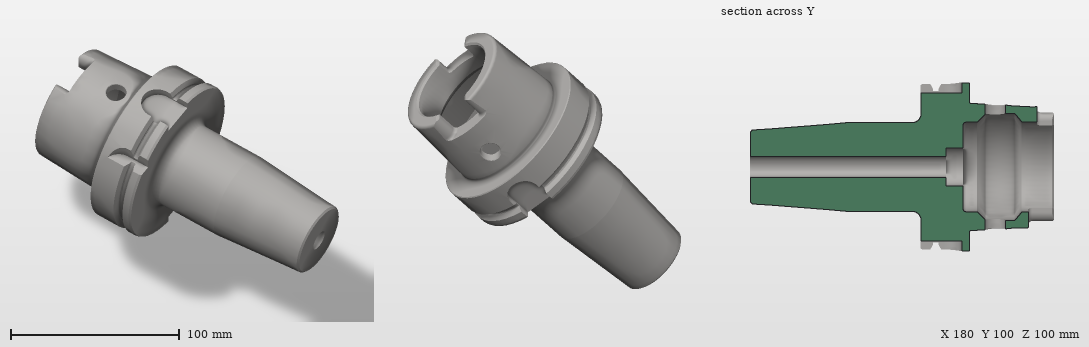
import cadquery as cq
import math

total_length = 180.0
taper_end = 47.9
flange_front = 50.0
flange_back = 79.0
nose_taper_start = 122.8

taper_mouth_dia = 70.7
taper_slope = 1 / 20
lip_fillet = 2.0
neck_dia = 75.5
neck_chamfer_length = 0.7
neck_fillet = 1.0

flange_dia = 100.0
flange_front_chamfer = 0.5
flange_back_chamfer_length = 1.5
flange_back_chamfer_height = 0.5
groove_centre = 70.0
groove_top_width = 6.5
groove_floor_width = 3.2
groove_floor_dia = 91.8
groove_floor_fillet = 0.5
groove_flank_angle = 30.0

nose_dia = 53.0
nose_fillet = 5.0
nose_half_angle = 4.5
nose_end_chamfer = 1.0

cavity_dia = 53.0
mouth_chamfer = 1.0
recess_dia = 63.0
recess_start = 19.0
recess_end = 45.5
recess_entry_angle = 50.0
cavity_depth = 54.0
cavity_floor_fillet = 2.0
counterbore_dia = 22.3
counterbore_depth = 10.0
through_hole_dia = 12.0

slot_width = 20.0
slot_shoulder_radius = 5.0
slot_shoulder_height = 32.2
shallow_slot_depth = 10.0
deep_slot_depth = 15.0
slot_end_fillet = 2.0
slot_mouth_chamfer_width = 1.8
slot_mouth_chamfer_depth = 1.0

cross_hole_x = 35.0
cross_hole_dia = 12.0
cross_hole_chamfer = 0.4

keyway_width = 20.0
keyway_centre_x = 64.8
keyway_floor_height = 44.0
notch_offset = 31.5

clearance = 1.8


def tan_deg(angle):
    return math.tan(math.radians(angle))


def revolve_about_x(profile):
    return profile.close().revolve(360, (0, 0, 0), (1, 0, 0))


def turned_body():
    mouth_r = taper_mouth_dia / 2
    taper_end_r = mouth_r + taper_end * taper_slope
    neck_r = neck_dia / 2
    flange_r = flange_dia / 2
    nose_r = nose_dia / 2
    nose_end_r = nose_r - (total_length - nose_taper_start) * tan_deg(nose_half_angle)
    profile = (
        cq.Workplane("XY")
        .lineTo(0, mouth_r)
        .lineTo(taper_end, taper_end_r)
        .lineTo(taper_end + neck_chamfer_length, neck_r)
        .lineTo(flange_front - neck_fillet, neck_r)
        .radiusArc((flange_front, neck_r + neck_fillet), -neck_fillet)
        .lineTo(flange_front, flange_r - flange_front_chamfer)
        .lineTo(flange_front + flange_front_chamfer, flange_r)
        .lineTo(flange_back - flange_back_chamfer_length, flange_r)
        .lineTo(flange_back, flange_r - flange_back_chamfer_height)
        .lineTo(flange_back, nose_r + nose_fillet)
        .radiusArc((flange_back + nose_fillet, nose_r), -nose_fillet)
        .lineTo(nose_taper_start, nose_r)
        .lineTo(total_length, nose_end_r)
        .lineTo(total_length, 0)
    )
    body = revolve_about_x(profile)
    body = body.faces("<X").edges().fillet(lip_fillet)
    return body.faces(">X").edges().chamfer(nose_end_chamfer)


def gripper_groove():
    flange_r = flange_dia / 2
    floor_r = groove_floor_dia / 2
    flank_run = (groove_top_width - groove_floor_width) / 2
    flank_foot_r = flange_r - flank_run / tan_deg(groove_flank_angle)
    half_profile = [
        (groove_floor_width / 2, floor_r),
        (groove_floor_width / 2, flank_foot_r),
        (groove_top_width / 2, flange_r),
        (groove_top_width / 2, flange_r + clearance),
    ]
    left = [(groove_centre - x, r) for x, r in half_profile]
    right = [(groove_centre + x, r) for x, r in reversed(half_profile)]
    groove = revolve_about_x(cq.Workplane("XY").polyline(left + right))
    floor_edges = cq.selectors.RadiusNthSelector(0)
    return groove.edges(floor_edges).fillet(groove_floor_fillet)


def cavity():
    bore_r = cavity_dia / 2
    recess_r = recess_dia / 2
    recess_step = recess_r - bore_r
    entry_cone_length = recess_step / tan_deg(recess_entry_angle)
    exit_cone_length = recess_step
    profile = (
        cq.Workplane("XY")
        .lineTo(0, bore_r + mouth_chamfer)
        .lineTo(mouth_chamfer, bore_r)
        .lineTo(recess_start, bore_r)
        .lineTo(recess_start + entry_cone_length, recess_r)
        .lineTo(recess_end - exit_cone_length, recess_r)
        .lineTo(recess_end, bore_r)
        .lineTo(cavity_depth - cavity_floor_fillet, bore_r)
        .radiusArc((cavity_depth, bore_r - cavity_floor_fillet), cavity_floor_fillet)
        .lineTo(cavity_depth, counterbore_dia / 2)
        .lineTo(cavity_depth + counterbore_depth, counterbore_dia / 2)
        .lineTo(cavity_depth + counterbore_depth, through_hole_dia / 2)
        .lineTo(total_length, through_hole_dia / 2)
        .lineTo(total_length, 0)
    )
    return revolve_about_x(profile)


def drive_slot(depth):
    """Slot open towards -X and +Z whose walls flare outwards to a flat shoulder."""
    wall_y = slot_width / 2
    shoulder_y = wall_y + slot_shoulder_radius
    outer_y = shoulder_y + clearance
    wall_top = slot_shoulder_height - slot_shoulder_radius
    top = taper_mouth_dia / 2 + 2 * clearance
    slot = (
        cq.Workplane("YZ", origin=(-clearance, 0, 0))
        .moveTo(-wall_y, 0)
        .lineTo(-wall_y, wall_top)
        .radiusArc((-shoulder_y, slot_shoulder_height), -slot_shoulder_radius)
        .lineTo(-outer_y, slot_shoulder_height)
        .lineTo(-outer_y, top)
        .lineTo(outer_y, top)
        .lineTo(outer_y, slot_shoulder_height)
        .lineTo(shoulder_y, slot_shoulder_height)
        .radiusArc((wall_y, wall_top), -slot_shoulder_radius)
        .lineTo(wall_y, 0)
        .close()
        .extrude(depth + clearance)
    )
    outline_edges = cq.selectors.BoxSelector(
        (0, -shoulder_y, wall_top / 4),
        (depth + clearance, shoulder_y, slot_shoulder_height),
    )
    slot = slot.faces(">X").edges(outline_edges).fillet(slot_end_fillet)
    mouth_flare = (
        cq.Workplane("XY")
        .polyline([
            (0, -wall_y - slot_mouth_chamfer_width),
            (slot_mouth_chamfer_depth, -wall_y),
            (slot_mouth_chamfer_depth, wall_y),
            (0, wall_y + slot_mouth_chamfer_width),
        ])
        .close()
        .extrude(top)
    )
    return slot.union(mouth_flare)


def cross_hole():
    return (
        cq.Workplane("XY", origin=(cross_hole_x, 0, -neck_dia))
        .circle(cross_hole_dia / 2)
        .extrude(2 * neck_dia)
    )


def cross_hole_rims():
    """Selects the two outer mouths of the cross hole."""
    half_box = cross_hole_dia / 2 + clearance
    wall_middle = (neck_dia + recess_dia) / 4

    def rim_box(low_z, high_z):
        return cq.selectors.BoxSelector(
            (cross_hole_x - half_box, -half_box, low_z), (cross_hole_x + half_box, half_box, high_z)
        )

    return rim_box(wall_middle, neck_dia) + rim_box(-neck_dia, -wall_middle)


def keyway(centre_y, floor_z):
    """Round-ended cutter path running out through the back of the flange."""
    run_out = flange_back - keyway_centre_x
    round_end = (
        cq.Workplane("XY", origin=(keyway_centre_x, centre_y, floor_z))
        .circle(keyway_width / 2)
        .extrude(flange_dia / 2)
    )
    straight = (
        cq.Workplane("XY", origin=(keyway_centre_x, centre_y, floor_z))
        .box(run_out, keyway_width, flange_dia / 2, centered=(False, True, False))
    )
    return round_end.union(straight)


def turned_over(solid):
    return solid.rotate((0, 0, 0), (1, 0, 0), 180)


result = turned_body().cut(gripper_groove()).cut(cavity())

result = result.cut(drive_slot(shallow_slot_depth))
result = result.cut(turned_over(drive_slot(deep_slot_depth)))
result = result.cut(cross_hole())
result = result.edges(cross_hole_rims()).chamfer(cross_hole_chamfer)

top_keyway = keyway(0, keyway_floor_height)
corner_notch = keyway(-notch_offset - keyway_width / 2, notch_offset)
result = result.cut(top_keyway).cut(turned_over(top_keyway)).cut(corner_notch)